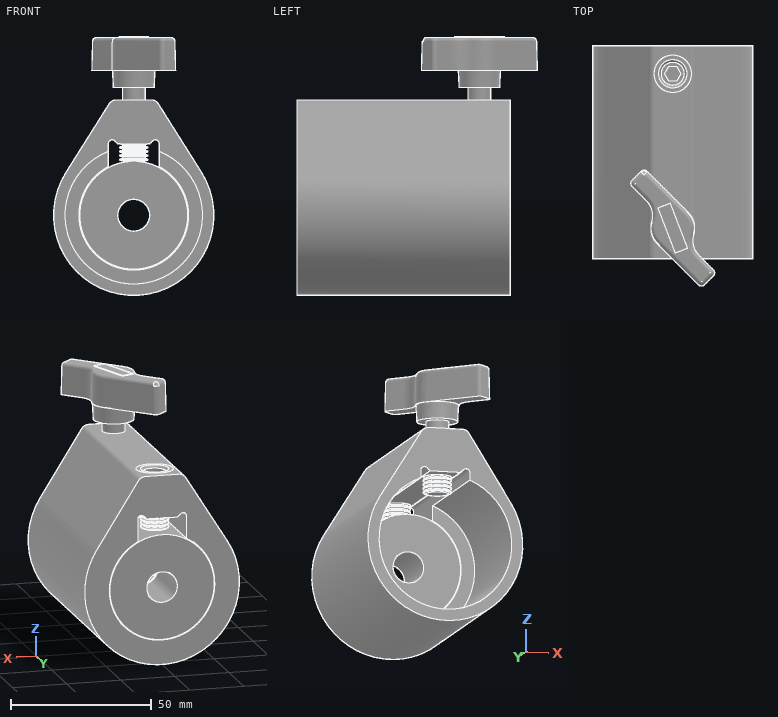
import cadquery as cq
import math


body_length = 76.0
front_y = -body_length / 2
rear_y = body_length / 2
outer_radius = 28.6
top_z = 41.15
crown_half_width = 7.9
crown_fillet = 3.0

tube_bore_radius = 24.5
tube_bore_depth = 50.0
socket_radius = 19.5
step_y = front_y + tube_bore_depth

slot_half_width = 9.0
slot_ceiling_z = 25.4
relief_radius = 1.3
relief_top_z = 26.85

spigot_radius = 19.3
spigot_hole_radius = 5.63

thread_core_radius = 4.1
thread_crest_radius = 5.05
thread_pitch = 1.45
ridge_foot_half = 0.5
ridge_crest_half = 0.15
tip_chamfer = 0.45
screw_tip_z = spigot_radius

grub_inset = 10.0
grub_y = rear_y - grub_inset
grub_top_z = 38.0
hex_across_flats = 5.1
hex_depth = 4.0
bush_radius = 6.65
bush_length = 12.0
bush_mouth_radius = thread_crest_radius
bush_mouth_depth = bush_mouth_radius - thread_core_radius

knob_inset = 11.0
knob_y = front_y + knob_inset
stud_thread_top_z = top_z - thread_pitch
knob_angle = -45.0
hub_clearance = 4.35
hub_height = 6.0
hub_bottom_z = top_z + hub_clearance
wing_bottom_z = hub_bottom_z + hub_height
wing_height = 11.9
wing_half_length = 22.3
knob_radius = 7.85
wing_inner_offset = 0.25
wing_root_radius = 7.5
wing_corner_radius = 1.5
wing_draft = 1.0
wing_top_fillet = 1.45
tip_margin = 1.0
hub_base_radius = 7.32
hub_top_radius = 7.6

plate_length = 17.2
plate_width = 4.7
plate_height = 0.28
plate_angle = -69.0


def extrude_y(profile, start_y, end_y):
    """Extrude an XZ profile function from start_y to end_y."""
    plane = cq.Workplane("XZ", origin=(0, start_y, 0))
    return profile(plane).extrude(start_y - end_y)


def teardrop(plane):
    """Round base with two flanks tangent to it that rise to the flat crown."""
    corner_distance = math.hypot(crown_half_width, top_z)
    tangent_angle = math.atan2(top_z, crown_half_width) - math.acos(outer_radius / corner_distance)
    tangent_x = outer_radius * math.cos(tangent_angle)
    tangent_z = outer_radius * math.sin(tangent_angle)
    return (
        plane.moveTo(tangent_x, tangent_z)
        .lineTo(crown_half_width, top_z)
        .lineTo(-crown_half_width, top_z)
        .lineTo(-tangent_x, tangent_z)
        .threePointArc((0, -outer_radius), (tangent_x, tangent_z))
        .close()
    )


def keyway(plane):
    """Slot with a flat ceiling between two round relief grooves, each with a 45 degree inner flank."""
    relief_x = slot_half_width - relief_radius
    relief_z = relief_top_z - relief_radius
    flank_angle = math.radians(135)
    mid_angle = flank_angle / 2
    flank_x = relief_x + relief_radius * math.cos(flank_angle)
    flank_z = relief_z + relief_radius * math.sin(flank_angle)
    mid_x = relief_x + relief_radius * math.cos(mid_angle)
    mid_z = relief_z + relief_radius * math.sin(mid_angle)
    ceiling_x = flank_x - (flank_z - slot_ceiling_z)
    return (
        plane.lineTo(slot_half_width, 0)
        .lineTo(slot_half_width, relief_z)
        .threePointArc((mid_x, mid_z), (flank_x, flank_z))
        .lineTo(ceiling_x, slot_ceiling_z)
        .lineTo(0, slot_ceiling_z)
        .mirrorY()
    )


def cylinder_z(radius, y, bottom_z, upper_z):
    """Upright cylinder on the X = 0 plane."""
    return cq.Workplane("XY", origin=(0, y, bottom_z)).circle(radius).extrude(upper_z - bottom_z)


def threaded_rod(y, thread_top_z, rod_top_z):
    """Upright rod with a chamfered tip and thread rings from the tip up to thread_top_z."""
    rod = cylinder_z(thread_core_radius, y, screw_tip_z, rod_top_z)
    envelope = cylinder_z(thread_crest_radius, y, screw_tip_z, thread_top_z).faces("<Z").chamfer(tip_chamfer)
    ridge_profile = [
        (0, -ridge_foot_half),
        (thread_core_radius, -ridge_foot_half),
        (thread_crest_radius, -ridge_crest_half),
        (thread_crest_radius, ridge_crest_half),
        (thread_core_radius, ridge_foot_half),
        (0, ridge_foot_half),
    ]
    ridge_count = int((thread_top_z - screw_tip_z) / thread_pitch)
    for number in range(ridge_count):
        ridge_z = screw_tip_z + ridge_foot_half + number * thread_pitch
        ridge = (
            cq.Workplane("XZ", origin=(0, y, ridge_z))
            .polyline(ridge_profile)
            .close()
            .revolve(360, (0, 0, 0), (0, 1, 0))
        )
        rod = rod.union(ridge.intersect(envelope))
    return rod


def grub_rod():
    """Grub screw without its hex socket; also cuts the thread it runs in."""
    return threaded_rod(grub_y, grub_top_z, grub_top_z)


def stud_rod():
    """Stud of the hand screw, plain above the housing; also cuts the thread it runs in."""
    return threaded_rod(knob_y, stud_thread_top_z, hub_bottom_z)


def make_grub_screw():
    hex_diameter = hex_across_flats / math.cos(math.pi / 6)
    socket = (
        cq.Workplane("XY", origin=(0, grub_y, grub_top_z - hex_depth))
        .polygon(6, hex_diameter)
        .extrude(hex_depth)
    )
    return grub_rod().cut(socket)


def make_bush():
    """Sleeve flush with the crown, with a chamfered mouth and a thread that fits the grub screw."""
    sleeve = cylinder_z(bush_radius, grub_y, top_z - bush_length, top_z)
    bore = cylinder_z(thread_core_radius, grub_y, top_z - bush_length, top_z)
    mouth = (
        cq.Workplane("XY", origin=(0, grub_y, top_z - bush_mouth_depth))
        .circle(thread_core_radius)
        .workplane(offset=bush_mouth_depth)
        .circle(bush_mouth_radius)
        .loft()
    )
    return sleeve.cut(bore).cut(mouth).cut(grub_rod())


def make_spigot():
    def ring(plane):
        return plane.circle(spigot_radius).circle(spigot_hole_radius)

    return extrude_y(ring, step_y, rear_y)


def wing_outline(plane):
    """Two wings on opposite sides of the centre line, each running tangent off the round middle."""
    root_y = wing_root_radius - wing_inner_offset
    root_x = math.sqrt((knob_radius + wing_root_radius) ** 2 - root_y**2)
    blend_angle = math.atan2(root_y, root_x)
    bulge_angle = (math.pi / 2 + blend_angle) / 2
    hollow_angle = (math.pi + blend_angle + 1.5 * math.pi) / 2
    blend_x = knob_radius * math.cos(blend_angle)
    blend_y = knob_radius * math.sin(blend_angle)
    bulge_x = knob_radius * math.cos(bulge_angle)
    bulge_y = knob_radius * math.sin(bulge_angle)
    hollow_x = root_x + wing_root_radius * math.cos(hollow_angle)
    hollow_y = root_y + wing_root_radius * math.sin(hollow_angle)
    outline = plane.moveTo(-wing_half_length, knob_radius)
    for side in (1, -1):
        outline = (
            outline.lineTo(0, side * knob_radius)
            .threePointArc((side * bulge_x, side * bulge_y), (side * blend_x, side * blend_y))
            .threePointArc((side * hollow_x, side * hollow_y), (side * root_x, -side * wing_inner_offset))
            .lineTo(side * wing_half_length, -side * wing_inner_offset)
            .lineTo(side * wing_half_length, -side * knob_radius)
        )
    return outline.close()


def make_hand_screw():
    wings = wing_outline(cq.Workplane("XY")).extrude(wing_height, taper=wing_draft)
    for side in (1, -1):
        tip_box = cq.selectors.BoxSelector(
            (side * (wing_half_length - tip_margin), -wing_half_length, tip_margin),
            (side * (wing_half_length + tip_margin), wing_half_length, wing_height - tip_margin),
        )
        wings = wings.edges(tip_box).fillet(wing_corner_radius)
    wings = wings.faces(">Z").edges().fillet(wing_top_fillet)
    wings = wings.rotate((0, 0, 0), (0, 0, 1), knob_angle).translate((0, knob_y, wing_bottom_z))

    hub = (
        cq.Workplane("XY", origin=(0, knob_y, hub_bottom_z))
        .circle(hub_base_radius)
        .workplane(offset=hub_height)
        .circle(hub_top_radius)
        .loft()
    )
    plate = (
        cq.Workplane("XY", origin=(0, knob_y, wing_bottom_z + wing_height))
        .transformed(rotate=(0, 0, plate_angle))
        .rect(plate_length, plate_width)
        .extrude(plate_height)
    )
    return wings.union(hub).union(plate).union(stud_rod())


def make_housing():
    housing = extrude_y(teardrop, front_y, rear_y)
    housing = housing.faces(">Z").edges("|Y").fillet(crown_fillet)
    housing = housing.cut(extrude_y(lambda plane: plane.circle(socket_radius), front_y, rear_y))
    housing = housing.cut(extrude_y(lambda plane: plane.circle(tube_bore_radius), front_y, step_y))
    housing = housing.cut(extrude_y(keyway, front_y, rear_y))
    housing = housing.cut(stud_rod())
    housing = housing.cut(grub_rod())
    return housing.cut(cylinder_z(bush_radius, grub_y, top_z - bush_length, top_z))


housing = make_housing()
spigot = make_spigot()
bush = make_bush()
grub_screw = make_grub_screw()
hand_screw = make_hand_screw()

result = cq.Compound.makeCompound(
    [housing.val(), spigot.val(), bush.val(), grub_screw.val(), hand_screw.val()]
)